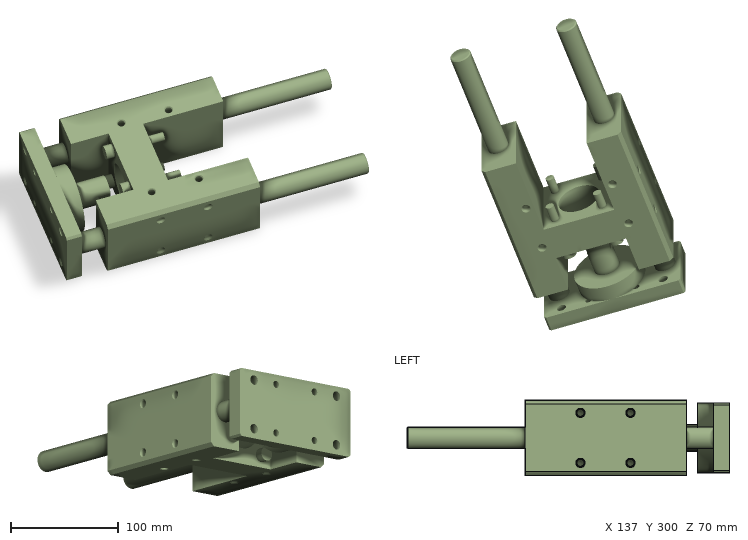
import cadquery as cq
import math


SIDES = (-1, 1)

housing_width = 137.0
housing_height = 70.0
housing_length = 150.0
housing_front = 40.0
housing_back = housing_front + housing_length
housing_chamfer = 3.5
leg_gap = 69.5
web_front = 77.0
web_thickness = 34.0
web_back = web_front + web_thickness
web_bore_diameter = 40.0

bolt_pitch = 46.5

screw_diameter = 8.0
screw_head_diameter = 13.0
screw_head_height = 8.0
screw_tip = 127.0

thread_core_diameter = 6.75
thread_mouth_diameter = 8.5
thread_depth = 16.0
drill_tip_angle = 118.0
top_hole_pitch = 85.0
hole_row_front = 92.2
hole_rows = (hole_row_front, hole_row_front + bolt_pitch)

rod_diameter = 20.0
rod_pitch = 104.0
rod_back = 300.0
rod_chamfer = 1.0

plate_width = 134.0
plate_height = 65.0
plate_thickness = 15.0
plate_chamfer = 2.0
plate_hole_diameter = 9.0
plate_hole_pitch = 100.0

flange_diameter = 65.0
flange_back = 30.0
stud_diameter = 25.0
stud_back = 63.0
stud_flats_width = 22.0
stud_flats_front = 51.0


def block(width, height, front, back):
    """Box centred on X and Z, reaching from front to back along Y."""
    return (
        cq.Workplane("XY")
        .box(width, back - front, height)
        .translate((0, (front + back) / 2, 0))
    )


def cylinder(diameter, front, back, x=0, z=0):
    """Cylinder along Y, reaching from front to back."""
    base = cq.Vector(x, front, z)
    along_y = cq.Vector(0, 1, 0)
    return cq.Workplane(cq.Solid.makeCylinder(diameter / 2, back - front, base, along_y))


def threaded_hole(mouth, direction, pointed):
    """Cutter for a blind hole with a 45 degree countersink and, if pointed, a drill tip."""
    start = cq.Vector(*mouth)
    axis = cq.Vector(*direction)
    core_radius = thread_core_diameter / 2
    mouth_radius = thread_mouth_diameter / 2
    core = cq.Solid.makeCylinder(core_radius, thread_depth, start, axis)
    countersink = cq.Solid.makeCone(mouth_radius, core_radius, mouth_radius - core_radius, start, axis)
    cutter = cq.Workplane(core).union(cq.Workplane(countersink))
    if pointed:
        tip_length = core_radius / math.tan(math.radians(drill_tip_angle / 2))
        tip = cq.Solid.makeCone(core_radius, 0, tip_length, start + axis * thread_depth, axis)
        cutter = cutter.union(cq.Workplane(tip))
    return cutter


def screw(x, z):
    """Screw whose head rests on the front of the web and whose shank passes through it."""
    head = cylinder(screw_head_diameter, web_front - screw_head_height, web_front, x, z)
    shank = cylinder(screw_diameter, web_front, screw_tip, x, z)
    return head.union(shank)


def make_housing():
    """H-shaped block with guide bores, web bore, threaded holes and its fixed screws."""
    body = block(housing_width, housing_height, housing_front, housing_back)
    body = body.edges("|Y").chamfer(housing_chamfer)

    body = body.cut(block(leg_gap, housing_height, housing_front, web_front))
    body = body.cut(block(leg_gap, housing_height, web_back, housing_back))

    body = body.cut(cylinder(web_bore_diameter, web_front, web_back))
    for side in SIDES:
        body = body.cut(cylinder(rod_diameter, housing_front, housing_back, side * rod_pitch / 2))

    for side in SIDES:
        for level in SIDES:
            for row in hole_rows:
                top_mouth = (side * top_hole_pitch / 2, row, level * housing_height / 2)
                side_mouth = (side * housing_width / 2, row, level * bolt_pitch / 2)
                body = body.cut(threaded_hole(top_mouth, (0, 0, -level), pointed=False))
                body = body.cut(threaded_hole(side_mouth, (-side, 0, 0), pointed=True))

    for side in SIDES:
        for level in SIDES:
            body = body.union(screw(side * bolt_pitch / 2, level * bolt_pitch / 2))
    return body


def make_plate():
    """Yoke plate with clearance holes near its ends and core holes around the flange."""
    plate = block(plate_width, plate_height, 0, plate_thickness)
    plate = plate.edges("|Y").chamfer(plate_chamfer)
    for side in SIDES:
        for level in SIDES:
            z = level * bolt_pitch / 2
            clearance_hole = cylinder(
                plate_hole_diameter, 0, plate_thickness, side * plate_hole_pitch / 2, z
            )
            core_hole = cylinder(thread_core_diameter, 0, plate_thickness, side * bolt_pitch / 2, z)
            plate = plate.cut(clearance_hole).cut(core_hole)
    return plate


def make_coupling():
    """Round flange carrying a stud with two wrench flats at its tip."""
    flange = cylinder(flange_diameter, plate_thickness, flange_back)
    stud = cylinder(stud_diameter, flange_back, stud_flats_front)
    flats = block(stud_flats_width, stud_diameter, stud_flats_front, stud_back)
    tip = cylinder(stud_diameter, stud_flats_front, stud_back).intersect(flats)
    return flange.union(stud).union(tip)


def make_yoke():
    """Plate, coupling and both guide rods as one solid."""
    body = make_plate().union(make_coupling())
    for side in SIDES:
        rod = cylinder(rod_diameter, plate_thickness, rod_back, side * rod_pitch / 2)
        rod = rod.faces(">Y").chamfer(rod_chamfer)
        body = body.union(rod)
    return body


housing = make_housing()
yoke = make_yoke()
result = cq.Compound.makeCompound([housing.solids().val(), yoke.solids().val()])